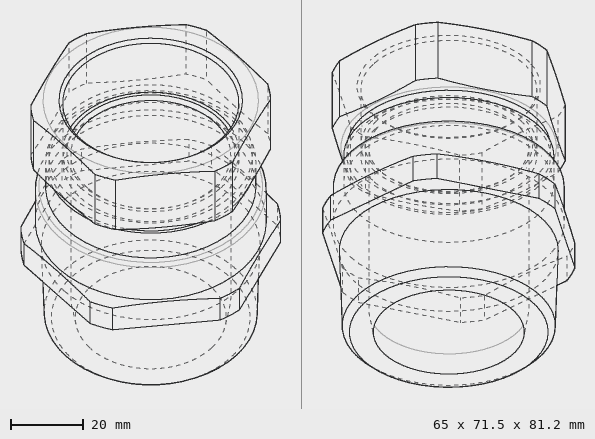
import cadquery as cq
import math

LEAD_CHAMFER = 2.0
FLANGE_BOTTOM = 27.0
FLANGE_TOP = 36.0
COLLAR_TOP = 49.0
SLEEVE_TOP = 58.25
SPIGOT_TOP = 62.0
NUT_HEX_HEIGHT = 20.0
NECK_HEIGHT = 3.0
NUT_HEX_BOTTOM = SLEEVE_TOP + NECK_HEIGHT
NUT_TOP = NUT_HEX_BOTTOM + NUT_HEX_HEIGHT

NUT_FLATS = 60.0
FLANGE_FLATS = 65.0
CORNER_RATIO = 1.1
HEX_CHAMFER_SLOPE = math.tan(math.radians(12.5))

NUT_FACE_RADIUS = 29.6
NECK_RADIUS = 28.0
SLEEVE_RADIUS = 28.9
COLLAR_RADIUS = 31.75
COLLAR_ROUNDING = 1.0
THREAD_TOP_RADIUS = 30.1
THREAD_TAPER = 1 / 32
THREAD_END_RADIUS = THREAD_TOP_RADIUS - THREAD_TAPER * (FLANGE_BOTTOM - LEAD_CHAMFER)

NUT_BORE_RADIUS = 24.2
NUT_MOUTH_CHAMFER = 1.0
BODY_BORE_RADIUS = 22.0
BODY_MOUTH_CHAMFER = 1.1
BORE_END_RADIUS = 20.75
BORE_CONE_HEIGHT = 7.5


def revolve(profile):
    """Turn a closed (radius, height) profile about the Z axis."""
    return cq.Workplane("XZ").polyline(profile).close().revolve(360, (0, 0), (0, 1))


def turned_hexagon(flats, bottom, top, face_radius, chamfer_bottom):
    """Hexagon with corners on the Y axis, turned-off corners and conical end chamfers."""
    corner_radius = CORNER_RATIO * flats / 2
    drop = (corner_radius - face_radius) * HEX_CHAMFER_SLOPE
    blank = [(0, bottom)]
    if chamfer_bottom:
        blank += [(face_radius, bottom), (corner_radius, bottom + drop)]
    else:
        blank += [(corner_radius, bottom)]
    blank += [(corner_radius, top - drop), (face_radius, top), (0, top)]

    sharp_corner_diameter = flats / math.cos(math.pi / 6)
    prism = (
        cq.Workplane("XY", origin=(0, 0, bottom))
        .polygon(6, sharp_corner_diameter)
        .extrude(top - bottom)
        .rotate((0, 0, 0), (0, 0, 1), 30)
    )
    return prism.intersect(revolve(blank))


def cylinder(radius, bottom, top):
    return cq.Workplane("XY", origin=(0, 0, bottom)).circle(radius).extrude(top - bottom)


def make_body():
    """Entry body: tapered thread, hexagon flange, collar, sleeve and a spigot inside the nut."""
    thread = revolve([
        (0, 0),
        (THREAD_END_RADIUS - LEAD_CHAMFER, 0),
        (THREAD_END_RADIUS, LEAD_CHAMFER),
        (THREAD_TOP_RADIUS, FLANGE_BOTTOM),
        (0, FLANGE_BOTTOM),
    ])
    flange = turned_hexagon(FLANGE_FLATS, FLANGE_BOTTOM, FLANGE_TOP, COLLAR_RADIUS, False)
    collar = cylinder(COLLAR_RADIUS, FLANGE_TOP, COLLAR_TOP).faces(">Z").edges().fillet(COLLAR_ROUNDING)
    sleeve = cylinder(SLEEVE_RADIUS, COLLAR_TOP, SLEEVE_TOP)
    spigot = cylinder(NUT_BORE_RADIUS, SLEEVE_TOP, SPIGOT_TOP)
    bore = revolve([
        (0, 0),
        (BORE_END_RADIUS, 0),
        (BODY_BORE_RADIUS, BORE_CONE_HEIGHT),
        (BODY_BORE_RADIUS, SPIGOT_TOP - BODY_MOUTH_CHAMFER),
        (BODY_BORE_RADIUS + BODY_MOUTH_CHAMFER, SPIGOT_TOP),
        (0, SPIGOT_TOP),
    ])
    return thread.union(flange).union(collar).union(sleeve).union(spigot).cut(bore)


def make_nut():
    """Gland nut: hexagon with a round neck that rests on the sleeve, bored through."""
    hexagon = turned_hexagon(NUT_FLATS, NUT_HEX_BOTTOM, NUT_TOP, NUT_FACE_RADIUS, True)
    neck = cylinder(NECK_RADIUS, SLEEVE_TOP, NUT_HEX_BOTTOM)
    bore = revolve([
        (0, SLEEVE_TOP),
        (NUT_BORE_RADIUS, SLEEVE_TOP),
        (NUT_BORE_RADIUS, NUT_TOP - NUT_MOUTH_CHAMFER),
        (NUT_BORE_RADIUS + NUT_MOUTH_CHAMFER, NUT_TOP),
        (0, NUT_TOP),
    ])
    return hexagon.union(neck).cut(bore)


body = make_body()
nut = make_nut()
result = cq.Compound.makeCompound([body.val(), nut.val()])